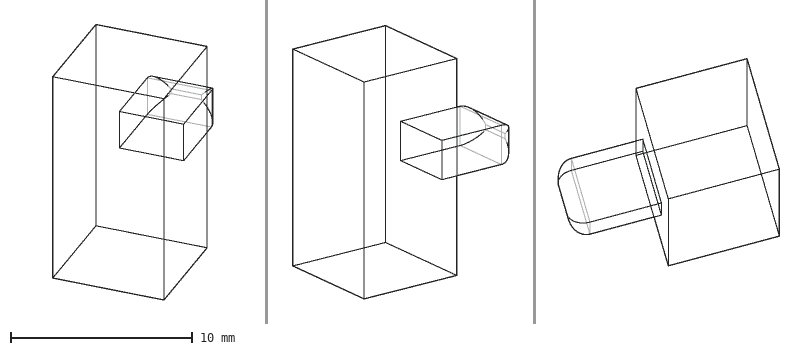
import cadquery as cq

body_width = 6.6
body_depth = 6.35
body_height = 12.7

stem_width = 3.81
stem_length = 5.08
stem_thickness = 2.3
tip_radius = 1.0


def make_body():
    return cq.Workplane("XY").box(body_width, body_depth, body_height)


def make_stem():
    """Flat bar whose four end edges are rounded over."""
    stem_center_y = (body_depth + stem_length) / 2
    bar = cq.Workplane("XY").box(stem_width, stem_length, stem_thickness)
    rounded = bar.faces(">Y").edges().fillet(tip_radius)
    return rounded.translate((0, stem_center_y, 0))


result = make_body().union(make_stem())